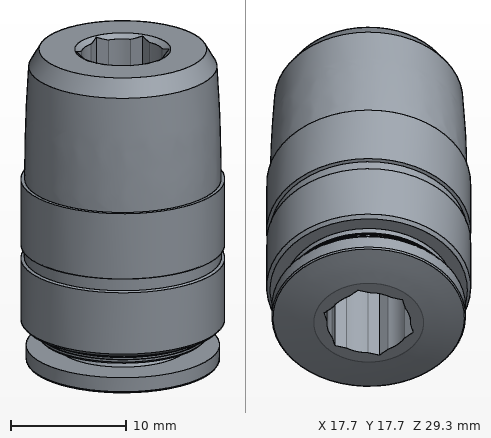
import cadquery as cq
import math

height = 29.3
nose_chamfer_z = 27.75
taper_base_z = 17.35
groove_top_z = 11.3
groove_bottom_z = 10.05
sleeve_bottom_z = 4.1
snap_groove_top_z = 3.55
snap_groove_bottom_z = 3.35
collar_bottom_z = 2.95
neck_flare_z = 2.43
flange_top_z = 2.05
flange_chamfer_z = 0.75
dome_rim_z = 0.62

nose_radius = 7.27
taper_top_radius = 8.17
taper_base_radius = 8.53
taper_bulge = 0.1
sleeve_radius = 17.7 / 2
groove_radius = 17.1 / 2
collar_radius = 14.8 / 2
neck_radius = 10.93 / 2
flange_radius = 16.8 / 2
dome_rim_radius = 8.3
bottom_flat_radius = 9.52 / 2

groove_edge = 0.1
sleeve_chamfer = 0.3
collar_chamfer = 0.18
snap_groove_depth = 0.1
neck_flare = 0.23
dome_sagitta = 0.045

hex_sides = 6
hex_half_flats = 3.5
relief_half_width = 0.97
relief_depth = 0.15
entry_radius = 4.15
entry_slope = math.radians(35)


def bulged_midpoint(start, end, sagitta):
    """Midpoint of a chord, pushed to the right of its direction by the sagitta."""
    dx = end[0] - start[0]
    dz = end[1] - start[1]
    length = math.hypot(dx, dz)
    mid_x = (start[0] + end[0]) / 2
    mid_z = (start[1] + end[1]) / 2
    return (mid_x + sagitta * dz / length, mid_z - sagitta * dx / length)


def turned_body():
    """Solid of revolution about Z, outlined from the bottom up."""
    bottom_edge = (bottom_flat_radius, 0)
    dome_rim = (dome_rim_radius, dome_rim_z)
    taper_base = (taper_base_radius, taper_base_z)
    taper_top = (taper_top_radius, nose_chamfer_z)
    snap_radius = collar_radius - snap_groove_depth
    outline = (
        cq.Workplane("XZ")
        .lineTo(*bottom_edge)
        .threePointArc(bulged_midpoint(bottom_edge, dome_rim, dome_sagitta), dome_rim)
        .lineTo(flange_radius, flange_chamfer_z)
        .lineTo(flange_radius, flange_top_z)
        .lineTo(neck_radius + neck_flare, flange_top_z)
        .lineTo(neck_radius, neck_flare_z)
        .lineTo(neck_radius, collar_bottom_z)
        .lineTo(collar_radius - collar_chamfer, collar_bottom_z)
        .lineTo(collar_radius, collar_bottom_z + collar_chamfer)
        .lineTo(collar_radius, snap_groove_bottom_z)
        .lineTo(snap_radius, snap_groove_bottom_z)
        .lineTo(snap_radius, snap_groove_top_z)
        .lineTo(collar_radius, snap_groove_top_z)
        .lineTo(collar_radius, sleeve_bottom_z)
        .lineTo(sleeve_radius - sleeve_chamfer, sleeve_bottom_z)
        .lineTo(sleeve_radius, sleeve_bottom_z + sleeve_chamfer)
        .lineTo(sleeve_radius, groove_bottom_z)
        .lineTo(groove_radius, groove_bottom_z + groove_edge)
        .lineTo(groove_radius, groove_top_z - groove_edge)
        .lineTo(sleeve_radius, groove_top_z)
        .lineTo(sleeve_radius, taper_base_z)
        .lineTo(*taper_base)
        .threePointArc(bulged_midpoint(taper_base, taper_top, taper_bulge), taper_top)
        .lineTo(nose_radius, height)
        .lineTo(0, height)
        .close()
    )
    return outline.revolve(360, (0, 0, 0), (0, 1, 0))


def rotated(point, angle):
    """Point in the XY plane turned about the origin."""
    x, y = point
    return (
        x * math.cos(angle) - y * math.sin(angle),
        x * math.sin(angle) + y * math.cos(angle),
    )


def socket_cut():
    """Through socket with two corners on the Y axis and a relief on every flat."""
    half_side = hex_half_flats * math.tan(math.pi / hex_sides)
    profile = cq.Workplane("XY").moveTo(hex_half_flats, -half_side)
    for side in range(hex_sides):
        angle = side * 2 * math.pi / hex_sides
        relief_start = rotated((hex_half_flats, -relief_half_width), angle)
        relief_middle = rotated((hex_half_flats + relief_depth, 0), angle)
        relief_end = rotated((hex_half_flats, relief_half_width), angle)
        profile = profile.lineTo(*relief_start).threePointArc(relief_middle, relief_end)
        if side < hex_sides - 1:
            profile = profile.lineTo(*rotated((hex_half_flats, half_side), angle))
    return profile.close().extrude(height)


def entry_cone():
    """Conical lead-in at the mouth of the socket."""
    depth = entry_radius * math.tan(entry_slope)
    return (
        cq.Workplane("XZ")
        .moveTo(0, height - depth)
        .lineTo(entry_radius, height)
        .lineTo(0, height)
        .close()
        .revolve(360, (0, 0, 0), (0, 1, 0))
    )


result = turned_body().cut(socket_cut()).cut(entry_cone())